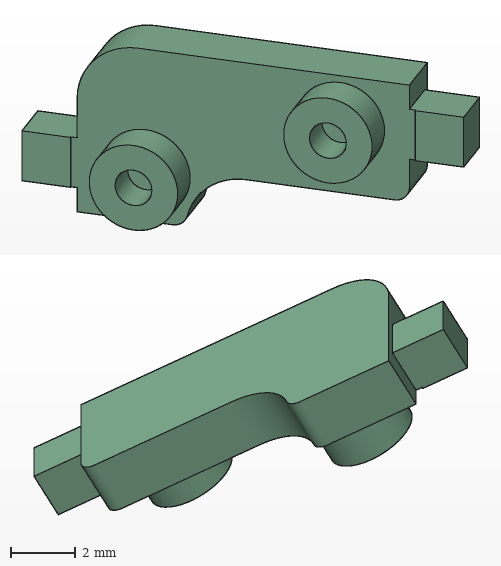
import cadquery as cq
import math

total_length = 14.5
total_height = 5.89
plate_thickness = 1.8
boss_height = 1.25

tab_reach = 1.8
arm_underside = 1.88
shoulder_radius = 2.0
hollow_radius = 2.0
hollow_center_x = 7.35
small_radius = 0.5

boss_diameter = 2.9
hole_diameter = 1.2
boss_inset_x = 4.06
boss_inset_z = 1.68

block_length = 1.6
tab_height = 1.71
block_thickness = 1.6
tab_back_setback = 0.25

plate_left = tab_reach
plate_right = total_length - tab_reach

low_z = boss_inset_z
high_z = total_height - boss_inset_z


def make_plate():
    """Stepped plate from y = 0 (front face) to y = plate_thickness."""
    hollow_center_z = arm_underside - hollow_radius

    center_distance = hollow_radius + small_radius
    rise = small_radius - hollow_center_z
    run = math.sqrt(center_distance**2 - rise**2)
    toe_center_x = hollow_center_x - run
    tangent_angle = math.atan2(rise, -run)

    def on_hollow(angle):
        return (
            hollow_center_x + hollow_radius * math.cos(angle),
            hollow_center_z + hollow_radius * math.sin(angle),
        )

    def on_toe(angle):
        return (
            toe_center_x + small_radius * math.cos(angle),
            small_radius + small_radius * math.sin(angle),
        )

    toe_end_angle = tangent_angle - math.pi
    toe_mid_angle = (toe_end_angle - math.pi / 2) / 2
    hollow_mid_angle = (tangent_angle + math.pi / 2) / 2

    outline = (
        cq.Workplane("XZ")
        .moveTo(plate_left, 0)
        .lineTo(toe_center_x, 0)
        .threePointArc(on_toe(toe_mid_angle), on_hollow(tangent_angle))
        .threePointArc(on_hollow(hollow_mid_angle), (hollow_center_x, arm_underside))
        .lineTo(plate_right - small_radius, arm_underside)
        .radiusArc((plate_right, arm_underside + small_radius), -small_radius)
        .lineTo(plate_right, total_height)
        .lineTo(plate_left + shoulder_radius, total_height)
        .radiusArc((plate_left, total_height - shoulder_radius), -shoulder_radius)
        .close()
    )
    return outline.extrude(-plate_thickness)


def make_boss(x, z):
    """Round boss in front of the plate, with a hole as deep as the boss."""
    return (
        cq.Workplane("XZ", origin=(x, 0, z))
        .circle(boss_diameter / 2)
        .circle(hole_diameter / 2)
        .extrude(boss_height)
    )


def make_tab(end_x, inward, z):
    """End tab whose tip is at end_x; inward is +1 or -1 along X."""
    tab_back = plate_thickness - tab_back_setback
    block = cq.Workplane("XY").box(block_length, block_thickness, tab_height).translate(
        (end_x + inward * block_length / 2, tab_back - block_thickness / 2, z)
    )
    neck_length = tab_reach - block_length
    neck_center_x = end_x + inward * (block_length + neck_length / 2)
    neck = cq.Workplane("XY").box(neck_length, tab_back, tab_height).translate(
        (neck_center_x, tab_back / 2, z)
    )
    return block.union(neck)


result = make_plate()
for boss_x, boss_z in ((boss_inset_x, low_z), (total_length - boss_inset_x, high_z)):
    result = result.union(make_boss(boss_x, boss_z))
for tip_x, inward, tab_z in ((0, 1, low_z), (total_length, -1, high_z)):
    result = result.union(make_tab(tip_x, inward, tab_z))